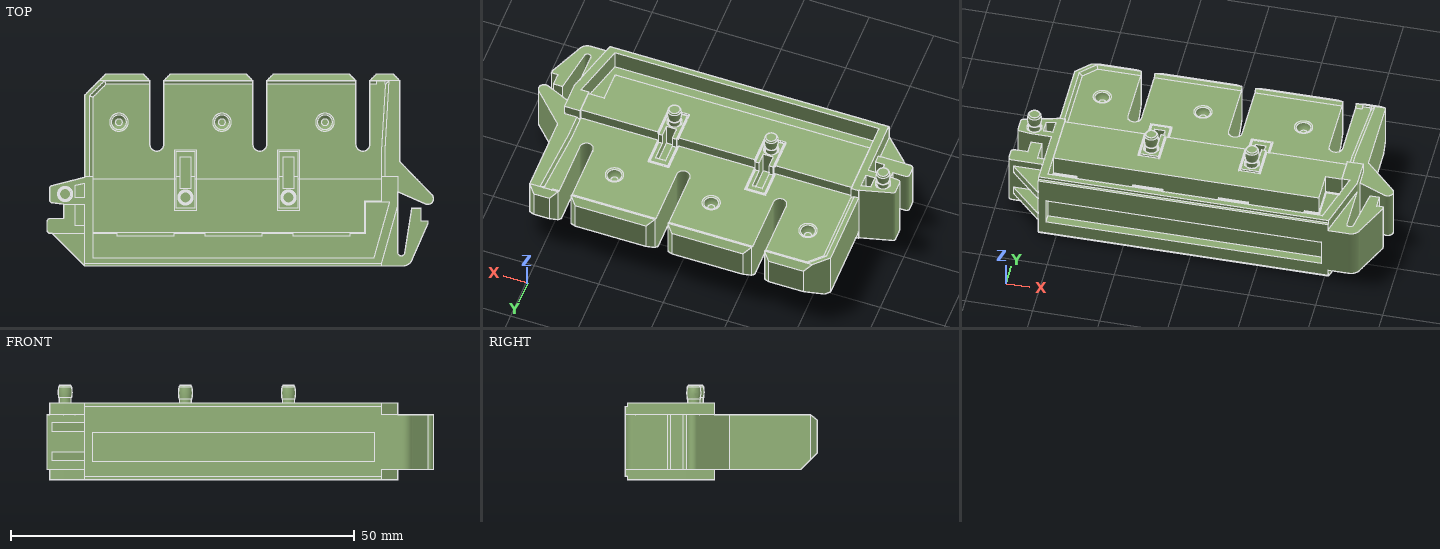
import cadquery as cq
import math

BODY_TOP = 5.7
BODY_BOTTOM = -5.5
COMB_TOP = 4.0
COMB_BOTTOM = -4.0
COMB_FLOOR = 3.6
BLOCK_TOP = 5.5
TROUGH_FLOOR = 2.4
PIN_TOP = 8.3

FRONT_STEP = 0.35
FRONT_STEP_HEIGHT = 0.5
FRONT_RIGHT = 43.2
BODY_RIGHT = 45.6
BODY_BACK = 13.05
SLANT_TOP_Y = 8.9
WALL = 1.2
BLOCK_FRONT = 4.9
BLOCK_NOTCH_X = 40.75
BLOCK_NOTCH_Y = 9.48
END_WALL_FRONT = 9.34
BLOCK_BACK = 12.7
LEDGE_WIDTH = 0.13
LEDGE_HEIGHT = 0.1

COMB_BACK = 28.0
COMB_RIGHT = 45.9
CORNER_Y = 24.9
TOOTH_CHAMFER = 1.0
TOP_CHAMFER_DEPTH = 1.0
TOP_CHAMFER_HEIGHT = 0.8
BOTTOM_CHAMFER = 2.4
PITCH = 15.0
SLOT_XS = [10.5 + PITCH * i for i in range(3)]
SLOT_WIDTH = 2.0
SLOT_END_Y = 16.75
TRAY_SLOPE = 0.5
TRAY_RIM_GAP = 0.02
TRAY_CORNER_Y = 24.8
TRAY_KNEE_Y = 16.5
TRAY_FLARE = 0.6
BACK_NOTCH_LEFT = 42.5
BACK_NOTCH_RIGHT = 43.75
BACK_NOTCH_FRONT = 26.0

HOLE_XS = [4.98 + PITCH * i for i in range(3)]
HOLE_Y = 20.95
HOLE_RIM_RADIUS = 1.33
HOLE_MOUTH_RADIUS = 1.08
HOLE_END_RADIUS = 0.5
HOLE_RIM_DEPTH = 0.12
HOLE_DEPTH = 1.1
HOLE_BOWL_BULGE = 0.08

CONTACT_XS = [14.67 + PITCH * i for i in range(2)]
CONTACT_WIDTH = 3.2
CONTACT_FRONT = 8.1
CONTACT_BACK = 16.9
CONTACT_GAP = 0.2
CONTACT_FRONT_GAP = 0.35
CONTACT_THICKNESS = 0.35
CONTACT_SLOT_WIDTH = 1.55
CONTACT_SLOT_FRONT = 11.3
CONTACT_SLOT_BACK = 15.9
CONTACT_SLOT_DEPTH = 2.0
CONTACT_PIN_Y = 10.0
PIN_NECK_RADIUS = 0.88
PIN_BULGE_RADIUS = 1.04
PIN_TOP_RADIUS = 0.8
PIN_SEAT_RADIUS = 1.1
PIN_SEAT_DEPTH = 0.3
PIN_NECK_HEIGHT = 0.8
PIN_BULGE_TOP = 8.0
PIN_BULGE_EDGE_RADIUS = 0.96

SLIT_XS = [4.7, 17.5, 30.3]
SLIT_LENGTH = 8.3
SLIT_WIDTH = 0.48
SLIT_DEPTH = 1.0
WINDOW_LEFT = 1.15
WINDOW_RIGHT = 42.2
WINDOW_BOTTOM = -2.8
WINDOW_TOP = 1.43
WINDOW_DEPTH = 1.3

ARM_LEFT = -5.1
ARM_FRONT = 9.0
ARM_ROOT_BACK = 12.95
ARM_TIP_FRONT = 9.25
ARM_TIP_BACK = 11.65
ARM_EDGE_RADIUS = 0.4
ARM_PIN_X = -2.85
ARM_PIN_Y = 10.5
HOOK_LEFT = -5.5
HOOK_FRONT = 4.75
HOOK_BACK = 6.95
HOOK_NECK_X = -3.05
HOOK_EDGE_RADIUS = 0.5
POCKET_LEFT = -1.4
ARM_POCKET_FRONT = 10.0
ARM_POCKET_ROOT_BACK = 12.05
ARM_POCKET_TIP_BACK = 11.75
HOOK_POCKET_FRONT = 5.95
POCKET_DEPTH = 5.0
RIB_LEFT = -4.75
RIB_BOTTOMS = [-2.67, 1.57]
RIB_THICKNESS = 1.25

HORN_TOP_Y = 15.2
HORN_ROOT_Y = 10.8
HORN_TIP_X = 49.95
HORN_TIP_Y = 9.82
HORN_TIP_RADIUS = 0.85
LATCH_TOP_Y = 8.45
LATCH_STEP_Y = 6.6
LATCH_SLOT_WIDTH = 0.98
LATCH_SLOT_END = 1.5
LATCH_SLOT_ROUND_Y = 1.95
LATCH_TIP_LEFT = 47.6
LATCH_TIP_RIGHT = 49.0
LATCH_RIGHT = 50.0
LATCH_BARB_Y = 6.2
LATCH_CORNER_X = 46.2
LATCH_CORNER_MIDDLE = (47.2, 0.3)
LATCH_CORNER_END = (47.75, 1.1)


def box(x0, x1, y0, y1, z0, z1):
    """Axis-aligned box between two opposite corners."""
    return cq.Workplane("XY").box(x1 - x0, y1 - y0, z1 - z0, centered=False).translate((x0, y0, z0))


def prism(points, z0, z1):
    """Vertical prism over a plan polygon."""
    return cq.Workplane("XY").workplane(offset=z0).polyline(points).close().extrude(z1 - z0)


def frustum(lower, upper, z0, z1):
    """Ruled solid between two plan polygons."""
    return (
        cq.Workplane("XY")
        .workplane(offset=z0)
        .polyline(lower)
        .close()
        .workplane(offset=z1 - z0)
        .polyline(upper)
        .close()
        .loft(ruled=True)
    )


def housing():
    """Full-height body with its proud front plate."""
    body = prism(
        [
            (0, FRONT_STEP),
            (FRONT_RIGHT, FRONT_STEP),
            (BODY_RIGHT, SLANT_TOP_Y),
            (BODY_RIGHT, BODY_BACK),
            (0, BODY_BACK),
        ],
        BODY_BOTTOM,
        BODY_TOP,
    )
    plate_bottom = BODY_BOTTOM + FRONT_STEP_HEIGHT
    plate_top = BODY_TOP - FRONT_STEP_HEIGHT
    plate = box(0, FRONT_RIGHT, 0, FRONT_STEP, plate_bottom, plate_top)
    return body.union(plate)


def housing_recesses():
    """Trough, lowered cover block, open back edge, trough slits and front window."""
    slant = (BODY_RIGHT - FRONT_RIGHT) / (SLANT_TOP_Y - FRONT_STEP)
    back_x = BODY_RIGHT - WALL
    front_x = back_x - slant * (END_WALL_FRONT - WALL)

    def trough_outline(ledge):
        return [
            (WALL, WALL),
            (front_x, WALL),
            (back_x, END_WALL_FRONT),
            (FRONT_RIGHT, END_WALL_FRONT),
            (FRONT_RIGHT, BLOCK_NOTCH_Y - ledge),
            (BLOCK_NOTCH_X + ledge, BLOCK_NOTCH_Y - ledge),
            (BLOCK_NOTCH_X + ledge, BLOCK_FRONT - ledge),
            (WALL, BLOCK_FRONT - ledge),
        ]

    ledge_top = TROUGH_FLOOR + LEDGE_HEIGHT
    trough = prism(trough_outline(0), ledge_top, BODY_TOP)
    trough = trough.union(prism(trough_outline(LEDGE_WIDTH), TROUGH_FLOOR, ledge_top))
    cuts = trough.union(box(WALL, BLOCK_NOTCH_X, BLOCK_FRONT, BODY_BACK, BLOCK_TOP, BODY_TOP))
    cuts = cuts.union(box(BLOCK_NOTCH_X, FRONT_RIGHT, BLOCK_NOTCH_Y, BODY_BACK, BLOCK_TOP, BODY_TOP))
    cuts = cuts.union(box(WALL, FRONT_RIGHT, BLOCK_BACK, BODY_BACK, COMB_FLOOR, BODY_TOP))
    cuts = cuts.union(box(WINDOW_LEFT, WINDOW_RIGHT, 0, WINDOW_DEPTH, WINDOW_BOTTOM, WINDOW_TOP))
    slit_front = BLOCK_FRONT - SLIT_WIDTH
    slit_floor = TROUGH_FLOOR - SLIT_DEPTH
    for x in SLIT_XS:
        cuts = cuts.union(box(x, x + SLIT_LENGTH, slit_front, BLOCK_FRONT, slit_floor, ledge_top))
    return cuts


def comb_plate():
    """Rear plate with bevelled back edge and chamfered teeth."""
    profile = [
        (BLOCK_FRONT, COMB_BOTTOM),
        (COMB_BACK - BOTTOM_CHAMFER, COMB_BOTTOM),
        (COMB_BACK, COMB_BOTTOM + BOTTOM_CHAMFER),
        (COMB_BACK, COMB_TOP - TOP_CHAMFER_HEIGHT),
        (COMB_BACK - TOP_CHAMFER_DEPTH, COMB_TOP),
        (BLOCK_FRONT, COMB_TOP),
    ]
    plate = cq.Workplane("YZ").polyline(profile).close().extrude(COMB_RIGHT)
    corner = COMB_BACK - CORNER_Y
    outline = [
        (0, BODY_BACK),
        (BODY_RIGHT, BODY_BACK),
        (COMB_RIGHT, HORN_TOP_Y),
        (COMB_RIGHT, COMB_BACK - TOOTH_CHAMFER),
        (COMB_RIGHT - TOOTH_CHAMFER, COMB_BACK),
        (corner, COMB_BACK),
        (0, CORNER_Y),
    ]
    return plate.intersect(prism(outline, COMB_BOTTOM, COMB_TOP))


def tooth_slots():
    """Round-ended slots whose mouths widen at 45 degrees."""
    half = SLOT_WIDTH / 2
    mouth = half + TOOTH_CHAMFER
    slots = cq.Workplane("XY")
    for x in SLOT_XS:
        slot = (
            cq.Workplane("XY")
            .workplane(offset=COMB_BOTTOM)
            .moveTo(x - half, SLOT_END_Y + half)
            .threePointArc((x, SLOT_END_Y), (x + half, SLOT_END_Y + half))
            .lineTo(x + half, COMB_BACK - TOOTH_CHAMFER)
            .lineTo(x + mouth, COMB_BACK)
            .lineTo(x - mouth, COMB_BACK)
            .lineTo(x - half, COMB_BACK - TOOTH_CHAMFER)
            .close()
            .extrude(COMB_TOP - COMB_BOTTOM)
        )
        slots = slots.add(slot)
    return slots.combine()


def comb_tray():
    """Shallow tray with sloping sides in the top of the comb plate."""
    rim_left = WALL - TRAY_SLOPE
    rim_back = COMB_BACK - TOP_CHAMFER_DEPTH - TRAY_RIM_GAP
    diagonal_inset = math.tan(math.pi / 8)

    def outline(inset):
        left = rim_left + inset
        back = rim_back - inset
        right = FRONT_RIGHT + TRAY_SLOPE - inset
        corner_y = TRAY_CORNER_Y - diagonal_inset * inset
        return [
            (left, BODY_BACK),
            (right, BODY_BACK),
            (right, TRAY_KNEE_Y),
            (right + TRAY_FLARE, back),
            (left + back - corner_y, back),
            (left, corner_y),
        ]

    tray = frustum(outline(TRAY_SLOPE), outline(0), COMB_FLOOR, COMB_TOP)
    back_notch = box(BACK_NOTCH_LEFT, BACK_NOTCH_RIGHT, BACK_NOTCH_FRONT, rim_back, COMB_FLOOR, COMB_TOP)
    return tray.union(back_notch)


def locating_hole(x):
    """Blind bowl-shaped hole with a countersunk rim and a flat bottom."""
    mouth_z = COMB_FLOOR - HOLE_RIM_DEPTH
    bottom_z = COMB_FLOOR - HOLE_DEPTH
    middle_radius = (HOLE_MOUTH_RADIUS + HOLE_END_RADIUS) / 2 + HOLE_BOWL_BULGE
    middle_z = (mouth_z + bottom_z) / 2 - HOLE_BOWL_BULGE
    bowl = (
        cq.Workplane("XZ")
        .moveTo(0, COMB_FLOOR)
        .lineTo(HOLE_RIM_RADIUS, COMB_FLOOR)
        .lineTo(HOLE_MOUTH_RADIUS, mouth_z)
        .threePointArc((middle_radius, middle_z), (HOLE_END_RADIUS, bottom_z))
        .lineTo(0, bottom_z)
        .close()
        .revolve(360, (0, 0), (0, 1))
    )
    return bowl.translate((x, HOLE_Y, 0))


def contact_recess(x):
    """Recess for one stepped contact plate, over the block and the comb tray."""
    left = x - CONTACT_WIDTH / 2
    right = x + CONTACT_WIDTH / 2
    on_block = box(left, right, CONTACT_FRONT, BLOCK_BACK, BLOCK_TOP - CONTACT_THICKNESS, BLOCK_TOP)
    on_tray = box(left, right, BLOCK_BACK, CONTACT_BACK, COMB_FLOOR - CONTACT_THICKNESS, COMB_FLOOR)
    return on_block.union(on_tray)


def contact_plate(x):
    """Stepped contact plate, flush with the block and the tray."""
    left = x - CONTACT_WIDTH / 2 + CONTACT_GAP
    right = x + CONTACT_WIDTH / 2 - CONTACT_GAP
    front = CONTACT_FRONT + CONTACT_FRONT_GAP
    back = CONTACT_BACK - CONTACT_GAP
    block_base = BLOCK_TOP - CONTACT_THICKNESS
    tray_base = COMB_FLOOR - CONTACT_THICKNESS
    on_block = box(left, right, front, BODY_BACK, block_base, BLOCK_TOP)
    step = box(left, right, BLOCK_BACK, BODY_BACK, tray_base, BLOCK_TOP)
    on_tray = box(left, right, BLOCK_BACK, back, tray_base, COMB_FLOOR)
    return on_block.union(step).union(on_tray)


def contact_slot(x):
    """Rectangular slot through the contact plate into the block and the comb."""
    left = x - CONTACT_SLOT_WIDTH / 2
    right = x + CONTACT_SLOT_WIDTH / 2
    floor = COMB_FLOOR - CONTACT_SLOT_DEPTH
    return box(left, right, CONTACT_SLOT_FRONT, CONTACT_SLOT_BACK, floor, BLOCK_TOP)


def pin_seat(x, y, base):
    """Shallow round seat around a pin."""
    disc = cq.Workplane("XY").circle(PIN_SEAT_RADIUS).extrude(PIN_SEAT_DEPTH)
    return disc.translate((x, y, base - PIN_SEAT_DEPTH))


def pin(x, y, base):
    """Barrel-headed contact pin rooted at the bottom of its seat."""
    foot = base - PIN_SEAT_DEPTH
    bulge_bottom = base + PIN_NECK_HEIGHT
    bulge_middle = (bulge_bottom + PIN_BULGE_TOP) / 2
    body = (
        cq.Workplane("XZ")
        .moveTo(0, foot)
        .lineTo(PIN_NECK_RADIUS, foot)
        .lineTo(PIN_NECK_RADIUS, bulge_bottom)
        .lineTo(PIN_BULGE_EDGE_RADIUS, bulge_bottom)
        .threePointArc((PIN_BULGE_RADIUS, bulge_middle), (PIN_BULGE_EDGE_RADIUS, PIN_BULGE_TOP))
        .lineTo(PIN_TOP_RADIUS, PIN_TOP)
        .lineTo(0, PIN_TOP)
        .close()
        .revolve(360, (0, 0), (0, 1))
    )
    return body.translate((x, y, 0))


def pin_arm():
    """Full-height arm on the left that carries a pin, with a blind pocket."""
    arm = prism(
        [
            (WALL, ARM_FRONT),
            (WALL, BODY_BACK),
            (0, ARM_ROOT_BACK),
            (ARM_LEFT, ARM_TIP_BACK),
            (ARM_LEFT, ARM_TIP_FRONT),
            (HOOK_NECK_X, ARM_FRONT),
        ],
        BODY_BOTTOM,
        BODY_TOP,
    )
    arm = arm.edges("|Z and <X").fillet(ARM_EDGE_RADIUS)
    pocket = prism(
        [
            (POCKET_LEFT, ARM_POCKET_FRONT),
            (0, ARM_POCKET_FRONT),
            (0, ARM_POCKET_ROOT_BACK),
            (POCKET_LEFT, ARM_POCKET_TIP_BACK),
        ],
        BODY_TOP - POCKET_DEPTH,
        BODY_TOP,
    )
    return arm.cut(pocket)


def hook():
    """L-shaped hook below the pin arm, with a blind pocket at its root."""
    foot = box(HOOK_LEFT, 0, HOOK_FRONT, HOOK_BACK, COMB_BOTTOM, COMB_TOP)
    foot = foot.edges("|Z and <X").fillet(HOOK_EDGE_RADIUS)
    neck = box(HOOK_NECK_X, 0, HOOK_FRONT, ARM_FRONT, COMB_BOTTOM, COMB_TOP)
    pocket = box(POCKET_LEFT, 0, HOOK_POCKET_FRONT, ARM_FRONT, COMB_TOP - POCKET_DEPTH, COMB_TOP)
    return foot.union(neck).cut(pocket)


def rib(bottom):
    """Triangular rib between the hook and the front left corner."""
    return prism([(0, 0), (0, HOOK_FRONT), (RIB_LEFT, HOOK_FRONT)], bottom, bottom + RIB_THICKNESS)


def guide_horn():
    """Sloping horn on the right with a rounded tip."""

    def tangent_point(root, side):
        """Point where the line from root touches the tip circle."""
        dx = root[0] - HORN_TIP_X
        dy = root[1] - HORN_TIP_Y
        angle = math.atan2(dy, dx) + side * math.acos(HORN_TIP_RADIUS / math.hypot(dx, dy))
        return (
            HORN_TIP_X + HORN_TIP_RADIUS * math.cos(angle),
            HORN_TIP_Y + HORN_TIP_RADIUS * math.sin(angle),
        )

    upper_root = (COMB_RIGHT, HORN_TOP_Y)
    lower_root = (BODY_RIGHT, HORN_ROOT_Y)
    return (
        cq.Workplane("XY")
        .workplane(offset=COMB_BOTTOM)
        .moveTo(*upper_root)
        .lineTo(*tangent_point(upper_root, -1))
        .threePointArc((HORN_TIP_X + HORN_TIP_RADIUS, HORN_TIP_Y), tangent_point(lower_root, 1))
        .lineTo(*lower_root)
        .lineTo(BODY_RIGHT - WALL, HORN_ROOT_Y)
        .lineTo(BODY_RIGHT - WALL, HORN_TOP_Y)
        .close()
        .extrude(COMB_TOP - COMB_BOTTOM)
    )


def spring_latch():
    """Barbed spring finger separated from the body by a narrow slot."""
    slot_right = BODY_RIGHT + LATCH_SLOT_WIDTH
    slot_middle = BODY_RIGHT + LATCH_SLOT_WIDTH / 2
    return (
        cq.Workplane("XY")
        .workplane(offset=COMB_BOTTOM)
        .moveTo(FRONT_RIGHT, 0)
        .lineTo(LATCH_CORNER_X, 0)
        .threePointArc(LATCH_CORNER_MIDDLE, LATCH_CORNER_END)
        .lineTo(LATCH_RIGHT, LATCH_BARB_Y)
        .lineTo(LATCH_RIGHT, LATCH_STEP_Y)
        .lineTo(LATCH_TIP_RIGHT, LATCH_STEP_Y)
        .lineTo(LATCH_TIP_RIGHT, LATCH_TOP_Y)
        .lineTo(LATCH_TIP_LEFT, LATCH_TOP_Y)
        .lineTo(slot_right, LATCH_SLOT_ROUND_Y)
        .threePointArc((slot_middle, LATCH_SLOT_END), (BODY_RIGHT, LATCH_SLOT_ROUND_Y))
        .lineTo(BODY_RIGHT, SLANT_TOP_Y)
        .lineTo(FRONT_RIGHT, FRONT_STEP)
        .close()
        .extrude(COMB_TOP - COMB_BOTTOM)
    )


def build():
    """Whole connector housing as one solid."""
    part = housing().cut(housing_recesses())
    comb = comb_plate().cut(tooth_slots()).cut(comb_tray())
    for x in HOLE_XS:
        comb = comb.cut(locating_hole(x))
    part = part.union(comb).union(guide_horn()).union(spring_latch())
    part = part.union(pin_arm()).union(hook())
    for bottom in RIB_BOTTOMS:
        part = part.union(rib(bottom))
    for x in CONTACT_XS:
        part = part.cut(contact_recess(x)).union(contact_plate(x)).cut(contact_slot(x))
        part = part.cut(pin_seat(x, CONTACT_PIN_Y, BLOCK_TOP)).union(pin(x, CONTACT_PIN_Y, BLOCK_TOP))
    part = part.cut(pin_seat(ARM_PIN_X, ARM_PIN_Y, BODY_TOP))
    return part.union(pin(ARM_PIN_X, ARM_PIN_Y, BODY_TOP))


result = build()